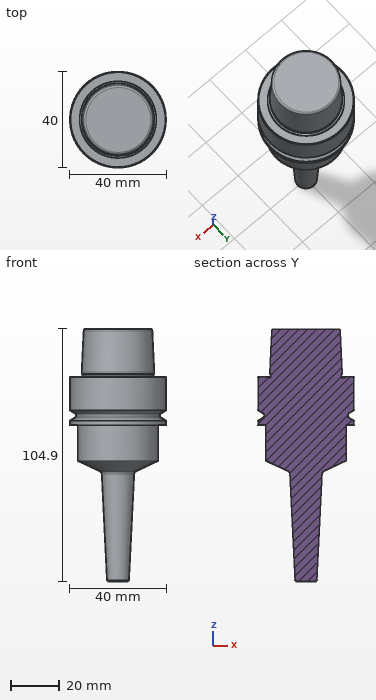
import cadquery as cq
import math

total_height = 104.9
flange_radius = 19.98
flange_bottom = 64.9
flange_top = 85.1
flange_edge = 0.3

groove_top = 71.0
groove_bottom = 66.8
groove_depth = 2.5
groove_flank_angle = 30.0
groove_floor_fillet = 0.6

body_radius = 16.8
body_bottom = 50.1
body_edge = 0.3
shank_top = 45.4
shank_top_radius = 6.8
shank_tip_radius = 4.6
shank_root_fillet = 1.0
tip_chamfer = 0.6

plug_top_radius = 14.3
plug_base_radius = 15.1
plug_taper_bottom = 87.1
plug_band_bottom = 86.2
plug_top_fillet = 0.8
relief_radius = 14.8
relief_outer_radius = 15.9
relief_depth = 0.3


def revolve_profile(points):
    """Revolve (radius, z) points about the Z axis, closing the outline on the axis."""
    axis_points = [(0, points[-1][1]), (0, points[0][1])]
    profile = cq.Workplane("XZ").polyline(points + axis_points).close()
    return profile.revolve(360, (0, 0), (0, 1))


def circle_at(z):
    """Select the circular edge centred on the axis at height z."""
    reach = 0.1
    return cq.selectors.BoxSelector((-reach, -reach, z - reach), (reach, reach, z + reach))


def make_shank_and_body():
    profile = [
        (shank_tip_radius - tip_chamfer, 0),
        (shank_tip_radius, tip_chamfer),
        (shank_top_radius, shank_top),
        (body_radius, body_bottom),
        (body_radius, flange_bottom),
    ]
    solid = revolve_profile(profile)
    solid = solid.edges(circle_at(shank_top)).fillet(shank_root_fillet)
    return solid.edges(circle_at(body_bottom)).fillet(body_edge)


def make_flange():
    height = flange_top - flange_bottom
    blank = cq.Workplane("XY").workplane(offset=flange_bottom).circle(flange_radius).extrude(height)
    return blank.faces(">Z").edges().chamfer(flange_edge)


def make_groove_cutter():
    flank_height = groove_depth * math.tan(math.radians(groove_flank_angle))
    floor_radius = flange_radius - groove_depth
    ring = (
        cq.Workplane("XZ")
        .moveTo(flange_radius, groove_bottom)
        .lineTo(floor_radius, groove_bottom + flank_height)
        .lineTo(floor_radius, groove_top - flank_height)
        .lineTo(flange_radius, groove_top)
        .close()
        .revolve(360, (0, 0), (0, 1))
    )
    floor_edges = cq.selectors.RadiusNthSelector(0)
    return ring.edges("%CIRCLE").edges(floor_edges).fillet(groove_floor_fillet)


def make_plug():
    plug = revolve_profile([
        (relief_radius, flange_top - relief_depth),
        (relief_radius, plug_band_bottom - (plug_base_radius - relief_radius)),
        (plug_base_radius, plug_band_bottom),
        (plug_base_radius, plug_taper_bottom),
        (plug_top_radius, total_height),
    ])
    return plug.faces(">Z").edges().fillet(plug_top_fillet)


def make_relief_cutter():
    """Shallow ring sunk into the flange face around the plug root."""
    return (
        cq.Workplane("XY")
        .workplane(offset=flange_top - relief_depth)
        .circle(relief_outer_radius)
        .extrude(relief_depth)
    )


flange = make_flange().cut(make_groove_cutter()).cut(make_relief_cutter())
result = flange.union(make_shank_and_body()).union(make_plug())